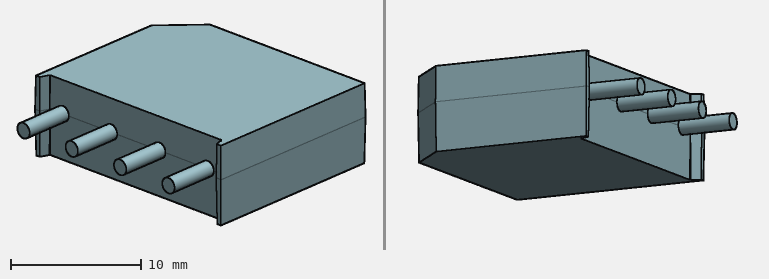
import cadquery as cq

body_width = 19.56
body_length = 16.3
corner_cut = 3.2
upper_height = 2.81
lower_height = 3.92
draft_angle = 1.0

leg_tip_width = 0.5
leg_root_width = 0.81
leg_height = 0.81

lead_count = 4
lead_pitch = 5.08
lead_diameter = 1.3
overall_length = 19.9
lead_embedment = 2.0

lead_end_y = body_length - overall_length
half_width = body_width / 2


def body_half(height):
    """Extrude the body outline away from the parting plane, narrowing with the draft angle."""
    outline = [
        (-half_width, 0),
        (-half_width, body_length - corner_cut),
        (-half_width + corner_cut, body_length),
        (half_width, body_length),
        (half_width, 0),
        (half_width - leg_tip_width, 0),
        (half_width - leg_root_width, leg_height),
        (-half_width + leg_root_width, leg_height),
        (-half_width + leg_tip_width, 0),
    ]
    return cq.Workplane("XY").polyline(outline).close().extrude(height, taper=draft_angle)


def lead(x):
    """One round lead along Y, rooted inside the body."""
    lead_plane = cq.Plane(origin=(x, lead_end_y, 0), xDir=(0, 0, 1), normal=(0, 1, 0))
    lead_length = leg_height + lead_embedment - lead_end_y
    return cq.Workplane(lead_plane).circle(lead_diameter / 2).extrude(lead_length)


upper_half = body_half(upper_height)
lower_half = body_half(lower_height).mirror("XY")
result = upper_half.union(lower_half)

first_lead_x = -lead_pitch * (lead_count - 1) / 2
for index in range(lead_count):
    result = result.union(lead(first_lead_x + index * lead_pitch))